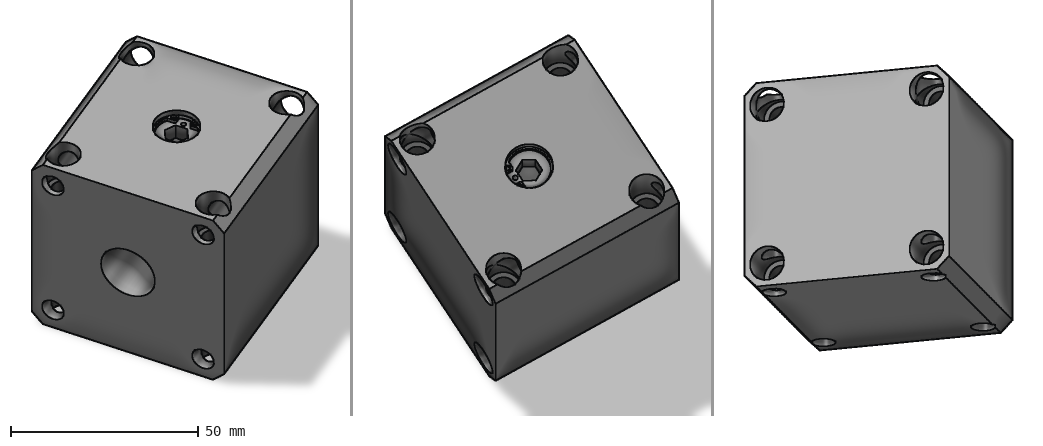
import cadquery as cq
import math

SIDE = 57.15
EDGE_CHAMFER = 3.3

HOLE_SPACING = 44.6
HOLE_DIAMETER = 6.45
COUNTERBORE_DIAMETER = 9.45
COUNTERBORE_DEPTH = 12.6

FRONT_BORE_DIAMETER = 16.0
FRONT_BORE_DEPTH = 34.3

PLUG_Y = 0.9
PLUG_DIAMETER = 12.8
PLUG_TOP_DEPTH = 2.75
PLUG_LENGTH = 5.7
PLUG_CHAMFER = 0.25
HEX_ACROSS_FLATS = 6.05
HEX_DEPTH = 4.6

PIT_DIAMETER = 1.4
PIT_Y = 4.3
PIT_WALL_ANGLE = 45.0

RING_OUTER_DIAMETER = 15.2
RING_INNER_DIAMETER = 11.65
RING_THICKNESS = 1.05
RING_GAP = 4.1
LUG_EDGE_Y = 3.6
LUG_INNER_RADIUS = 0.6
LUG_OUTER_RADIUS = 1.25
LUG_HOLE_DIAMETER = 1.5
LUG_HOLE_X = 3.2
LUG_HOLE_Y = 4.8

half_side = SIDE / 2
plug_top = half_side - PLUG_TOP_DEPTH
plug_bottom = plug_top - PLUG_LENGTH
ring_top = plug_top + RING_THICKNESS
hex_across_corners = HEX_ACROSS_FLATS / math.cos(math.pi / 6)
pit_depth = PIT_DIAMETER / 2 / math.tan(math.radians(PIT_WALL_ANGLE))


def plug_axis_cylinder(diameter, z_bottom, z_top):
    """Cylinder on the plug axis between two levels."""
    base = cq.Workplane("XY", origin=(0, PLUG_Y, z_bottom))
    return base.circle(diameter / 2).extrude(z_top - z_bottom)


def make_housing():
    block = cq.Workplane("XY").box(SIDE, SIDE, SIDE)
    block = block.edges("|Y").chamfer(EDGE_CHAMFER)

    for face in (">Y", ">Z"):
        corners = (
            block.faces(face)
            .workplane(origin=(0, 0, 0))
            .rect(HOLE_SPACING, HOLE_SPACING, forConstruction=True)
            .vertices()
        )
        block = corners.cboreHole(HOLE_DIAMETER, COUNTERBORE_DIAMETER, COUNTERBORE_DEPTH)

    front_face = block.faces("<Y").workplane(origin=(0, 0, 0))
    block = front_face.hole(FRONT_BORE_DIAMETER, FRONT_BORE_DEPTH)

    plug_bore = plug_axis_cylinder(PLUG_DIAMETER, plug_bottom, half_side)
    ring_groove = plug_axis_cylinder(RING_OUTER_DIAMETER, plug_top, ring_top)
    return block.cut(plug_bore).cut(ring_groove)


def make_plug():
    plug = plug_axis_cylinder(PLUG_DIAMETER, plug_bottom, plug_top)
    plug = plug.faces(">Z").chamfer(PLUG_CHAMFER)

    top = cq.Workplane("XY", origin=(0, PLUG_Y, plug_top))
    socket = top.polygon(6, hex_across_corners).extrude(-HEX_DEPTH)
    pit = cq.Workplane(
        cq.Solid.makeCone(
            PIT_DIAMETER / 2, 0, pit_depth,
            pnt=cq.Vector(0, PLUG_Y + PIT_Y, plug_top),
            dir=cq.Vector(0, 0, -1),
        )
    )
    return plug.cut(socket).cut(pit)


def gap_edges(y_low, y_high):
    """Select the vertical edges of the ring gap whose centres lie between two Y values."""
    middle_z = plug_top + RING_THICKNESS / 2
    reach = RING_THICKNESS / 4
    return cq.selectors.BoxSelector(
        (-RING_GAP, y_low, middle_z - reach),
        (RING_GAP, y_high, middle_z + reach),
    )


def make_ring():
    base = cq.Workplane("XY", origin=(0, PLUG_Y, plug_top))
    disc = plug_axis_cylinder(RING_OUTER_DIAMETER, plug_top, ring_top)

    opening = plug_axis_cylinder(RING_INNER_DIAMETER, plug_top, ring_top)
    lug_side = (
        base.center(0, LUG_EDGE_Y + RING_OUTER_DIAMETER / 2)
        .rect(RING_OUTER_DIAMETER, RING_OUTER_DIAMETER)
        .extrude(RING_THICKNESS)
    )
    gap = (
        base.center(0, RING_OUTER_DIAMETER / 2)
        .rect(RING_GAP, RING_OUTER_DIAMETER)
        .extrude(RING_THICKNESS)
    )
    ring = disc.cut(opening.cut(lug_side)).cut(gap)

    lug_middle_y = PLUG_Y + (LUG_EDGE_Y + RING_OUTER_DIAMETER / 2) / 2
    ring = ring.edges(gap_edges(PLUG_Y, lug_middle_y)).fillet(LUG_INNER_RADIUS)
    ring = ring.edges(gap_edges(lug_middle_y, half_side)).fillet(LUG_OUTER_RADIUS)

    hole_centers = [(side * LUG_HOLE_X, LUG_HOLE_Y) for side in (-1, 1)]
    holes = base.pushPoints(hole_centers).circle(LUG_HOLE_DIAMETER / 2).extrude(RING_THICKNESS)
    return ring.cut(holes)


housing = make_housing().solids()
plug = make_plug().solids()
retaining_ring = make_ring().solids()
result = cq.Compound.makeCompound([housing.val(), plug.val(), retaining_ring.val()])